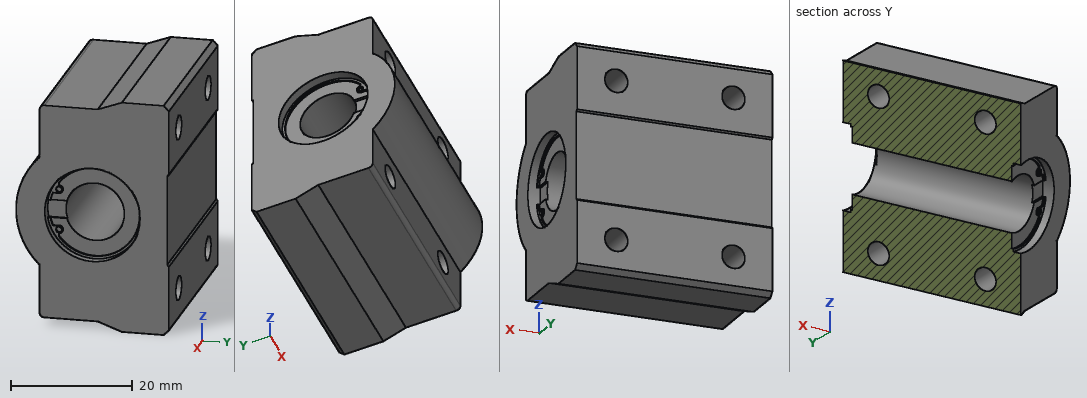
import cadquery as cq
import math


LENGTH = 35.0
HEIGHT = 40.0
BACK_Y = 13.0
FRONT_Y = -9.0
DOME_RADIUS = 13.0
FRONT_HALF_HEIGHT = 18.5
SLOPE_START_Y = 5.0
SLOPE_END_Y = 0.9
BACK_EDGE_CHAMFER = 0.9
FRONT_EDGE_RADIUS = 0.8
RELIEF_DEPTH = 0.3
RELIEF_HALF_HEIGHT = 7.7

HOLE_DIAMETER = 4.1
HOLE_SPACING_X = 21.0
HOLE_SPACING_Z = 28.0

SEAT_RADIUS = 8.1
SHAFT_RADIUS = 5.0
BEARING_RECESS = 1.8
SLOT_WIDTH = 3.1
SLOT_DEPTH = 0.4

RING_INNER_RADIUS = 7.65
RING_THICKNESS = 0.3
LUG_Y = -6.05
LUG_Z = 3.5
LUG_RADIUS = 0.65
LUG_HOLE_RADIUS = 0.5

HALF_LENGTH = LENGTH / 2
HALF_HEIGHT = HEIGHT / 2
DOME_HALF_HEIGHT = math.sqrt(DOME_RADIUS**2 - FRONT_Y**2)


def housing_block():
    """Extruded block with a stepped outline, a domed front and a relieved back face."""
    relief_y = BACK_Y - RELIEF_DEPTH
    relief_edge_z = RELIEF_HALF_HEIGHT + RELIEF_DEPTH
    block = (
        cq.Workplane("YZ")
        .workplane(offset=-HALF_LENGTH)
        .moveTo(FRONT_Y, -DOME_HALF_HEIGHT)
        .threePointArc((-DOME_RADIUS, 0), (FRONT_Y, DOME_HALF_HEIGHT))
        .lineTo(FRONT_Y, FRONT_HALF_HEIGHT)
        .lineTo(SLOPE_END_Y, FRONT_HALF_HEIGHT)
        .lineTo(SLOPE_START_Y, HALF_HEIGHT)
        .lineTo(BACK_Y, HALF_HEIGHT)
        .lineTo(BACK_Y, relief_edge_z)
        .lineTo(relief_y, RELIEF_HALF_HEIGHT)
        .lineTo(relief_y, -RELIEF_HALF_HEIGHT)
        .lineTo(BACK_Y, -relief_edge_z)
        .lineTo(BACK_Y, -HALF_HEIGHT)
        .lineTo(SLOPE_START_Y, -HALF_HEIGHT)
        .lineTo(SLOPE_END_Y, -FRONT_HALF_HEIGHT)
        .lineTo(FRONT_Y, -FRONT_HALF_HEIGHT)
        .close()
        .extrude(LENGTH)
    )
    for side in (-1, 1):
        back_edge = cq.NearestToPointSelector((0, BACK_Y, side * HALF_HEIGHT))
        block = block.edges(back_edge).chamfer(BACK_EDGE_CHAMFER)
        front_edge = cq.NearestToPointSelector((0, FRONT_Y, side * FRONT_HALF_HEIGHT))
        block = block.edges(front_edge).fillet(FRONT_EDGE_RADIUS)
    return block


def mounting_holes():
    """Four holes running through the block along Y."""
    return (
        cq.Workplane("XZ", origin=(0, BACK_Y, 0))
        .rarray(HOLE_SPACING_X, HOLE_SPACING_Z, 2, 2)
        .circle(HOLE_DIAMETER / 2)
        .extrude(BACK_Y - FRONT_Y)
    )


def shaft_bore():
    """Bore through the whole length."""
    return cq.Workplane("YZ").circle(SHAFT_RADIUS).extrude(HALF_LENGTH, both=True)


def bearing_recess():
    """Round pocket at the -X end, down to the bearing face."""
    return (
        cq.Workplane("YZ", origin=(-HALF_LENGTH, 0, 0))
        .circle(SEAT_RADIUS)
        .extrude(BEARING_RECESS)
    )


def bearing_slot():
    """Shallow radial slot in the bearing face, from the bore to the seat."""
    start_x = -HALF_LENGTH + BEARING_RECESS
    slot = (
        cq.Workplane("YZ", origin=(start_x, 0, 0))
        .center(-SEAT_RADIUS / 2, 0)
        .rect(SEAT_RADIUS, SLOT_WIDTH)
        .extrude(SLOT_DEPTH)
    )
    seat = cq.Workplane("YZ", origin=(start_x, 0, 0)).circle(SEAT_RADIUS).extrude(SLOT_DEPTH)
    return slot.intersect(seat)


def retaining_ring():
    """Open ring with two drilled lugs, its gap in line with the bearing slot."""
    plane = cq.Workplane("YZ", origin=(-HALF_LENGTH + BEARING_RECESS - RING_THICKNESS, 0, 0))
    ring = plane.circle(SEAT_RADIUS).circle(RING_INNER_RADIUS).extrude(RING_THICKNESS)
    seat = plane.circle(SEAT_RADIUS).extrude(RING_THICKNESS)
    for side in (-1, 1):
        tip = plane.center(LUG_Y, side * LUG_Z)
        lug = tip.circle(LUG_RADIUS).extrude(RING_THICKNESS)
        web = (
            plane.moveTo(LUG_Y, side * (LUG_Z - LUG_RADIUS))
            .lineTo(-SEAT_RADIUS, side * (LUG_Z - LUG_RADIUS))
            .lineTo(-SEAT_RADIUS, side * SEAT_RADIUS)
            .lineTo(LUG_Y, side * SEAT_RADIUS)
            .close()
            .extrude(RING_THICKNESS)
        )
        ring = ring.union(lug).union(web.intersect(seat))
        ring = ring.cut(tip.circle(LUG_HOLE_RADIUS).extrude(RING_THICKNESS))
    gap = plane.center(-SEAT_RADIUS, 0).rect(SEAT_RADIUS, SLOT_WIDTH).extrude(RING_THICKNESS)
    return ring.cut(gap)


body = housing_block().cut(mounting_holes()).cut(shaft_bore())

end_pocket = bearing_recess().union(bearing_slot())
end_ring = retaining_ring()
body = body.cut(end_pocket).cut(end_pocket.mirror("YZ"))
result = body.union(end_ring).union(end_ring.mirror("YZ"))